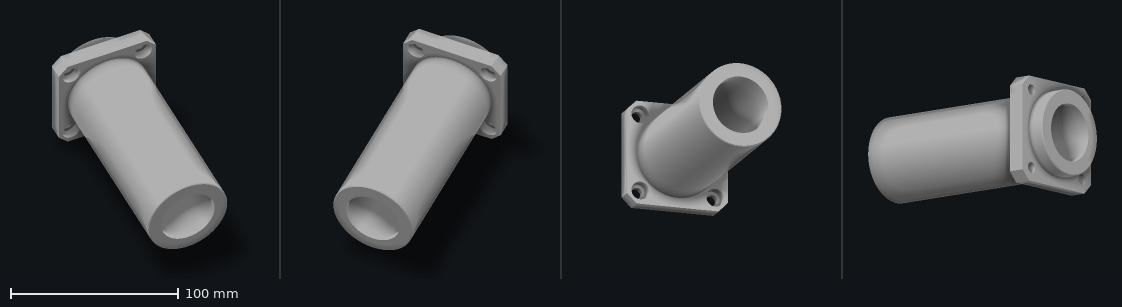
import cadquery as cq
import math

length = 135.0
tube_diameter = 52.0
bore_diameter = 35.0
end_chamfer = 0.5

pilot_length = 10.0
flange_thickness = 10.0
flange_width = 64.0
corner_cut = 6.0

undercut_reach = 0.3

bolt_circle_diameter = 67.0
bolt_hole_diameter = 6.6
counterbore_diameter = 11.0
counterbore_depth = 6.1
hole_spacing = bolt_circle_diameter / math.sqrt(2)


def make_tube_body():
    """Solid cylinder from the pilot face, with both end rims chamfered."""
    cylinder = cq.Workplane("YZ").circle(tube_diameter / 2).extrude(length)
    return cylinder.faces("<X or >X").edges().chamfer(end_chamfer)


def make_flange():
    """Square plate with cut corners and four holes counterbored on the tube side."""
    plate = (
        cq.Workplane("YZ", origin=(pilot_length, 0, 0))
        .rect(flange_width, flange_width)
        .extrude(flange_thickness)
        .edges("|X")
        .chamfer(corner_cut)
    )
    return (
        plate.faces(">X")
        .workplane()
        .rect(hole_spacing, hole_spacing, forConstruction=True)
        .vertices()
        .cboreHole(bolt_hole_diameter, counterbore_diameter, counterbore_depth)
    )


def make_undercut():
    """Square-section ring centred on the corner between pilot and flange face."""
    return (
        cq.Workplane("YZ", origin=(pilot_length - undercut_reach, 0, 0))
        .circle(tube_diameter / 2 + undercut_reach)
        .circle(tube_diameter / 2 - undercut_reach)
        .extrude(2 * undercut_reach)
    )


def make_bore():
    """Through bore along the tube axis."""
    return cq.Workplane("YZ").circle(bore_diameter / 2).extrude(length)


result = make_tube_body().union(make_flange()).cut(make_undercut()).cut(make_bore())